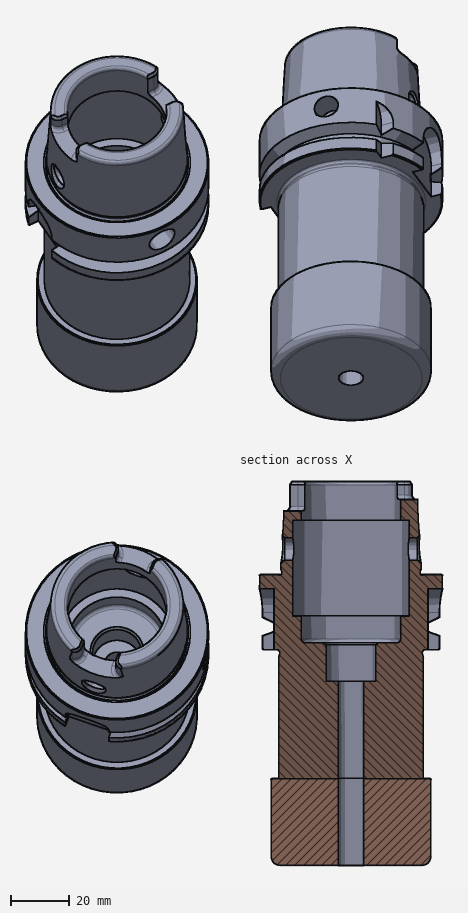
import cadquery as cq
import math

total_height = 132.0
nut_height = 30.0
collar_bottom = 74.0
lower_rim_top = 79.0
groove_bottom = 80.4
groove_top = 83.3
upper_rim_bottom = 85.3
collar_top = 100.0
taper_bottom = 101.9
taper_neck_top = 101.0
recess_floor = 99.8
bore_lip = 118.5
clamp_floor = 85.8
bore_floor = 76.5
thread_floor = 63.4

nut_diameter = 55.0
nut_bottom_round = 3.2
nut_top_chamfer = 0.4

shank_diameter = 50.0
shank_neck_diameter = 49.2
shank_neck_bottom = 72.7
shank_cone_bottom = 71.4
shank_neck_round = 0.9
collar_diameter = 63.0
collar_chamfer = 0.4
groove_diameter = 55.0
taper_base_diameter = 48.5
taper_slope = 0.05
taper_neck_diameter = 47.8
taper_neck_round = 0.7
recess_diameter = 50.4
taper_end_round = 1.3

mouth_diameter = 34.0
mouth_round = 1.2
clamp_diameter = 40.0
bore_floor_round = 1.3
thread_diameter = 16.9
thread_chamfer = 0.8
coolant_diameter = 8.5

slot_width = 12.5
front_slot_depth = 6.2
back_slot_depth = 10.2
slot_straight_end = 18.2
slot_flare_radius = 2.8
slot_floor_round = 1.6
slot_chamfer_width = 0.8
slot_chamfer_height = 1.2

cross_hole_height = 108.8
cross_hole_diameter = 7.5
cross_hole_mouth_diameter = 9.6
pocket_height = 92.8
pocket_depth = 8.8
near_pocket_diameter = 8.5
near_pocket_angle = 187.4
far_pocket_diameter = 10.0
far_pocket_angle = 0.0

keyway_width = 16.0
keyway_top = 95.0
keyway_floor = 26.5
notch_top = 95.8
notch_center_x = -28.0
notch_floor = 19.9

collar_radius = collar_diameter / 2
taper_base_radius = taper_base_diameter / 2
taper_neck_radius = taper_neck_diameter / 2
shank_radius = shank_diameter / 2
shank_neck_radius = shank_neck_diameter / 2
groove_radius = groove_diameter / 2
mouth_radius = mouth_diameter / 2
thread_radius = thread_diameter / 2
coolant_radius = coolant_diameter / 2
clearance = 6.6


def taper_radius(height):
    """Outer radius of the taper at a height."""
    return taper_base_radius - taper_slope * (height - taper_bottom)


def round_middle(center_x, center_z, radius, angle):
    """Point on a circle in the half section, at an angle in degrees from +X."""
    turn = math.radians(angle)
    return center_x + radius * math.cos(turn), center_z + radius * math.sin(turn)


def make_nut():
    """Round nut with a bulged lower edge and a central through hole."""
    nut = cq.Workplane("XY").circle(nut_diameter / 2).extrude(nut_height)
    nut = nut.faces("<Z").edges().fillet(nut_bottom_round)
    nut = nut.faces(">Z").edges().chamfer(nut_top_chamfer)
    return nut.cut(cq.Workplane("XY").circle(coolant_radius).extrude(nut_height))


def make_outer_form():
    """Turned outside of the holder: shank, grooved collar and taper."""
    lower_round_x = shank_neck_radius + shank_neck_round
    lower_round_z = collar_bottom - shank_neck_round
    upper_round_x = taper_neck_radius + taper_neck_round
    upper_round_z = recess_floor + taper_neck_round
    taper_end_radius = taper_radius(total_height - taper_end_round)
    end_round_x = taper_end_radius - taper_end_round
    profile = (
        cq.Workplane("XZ")
        .moveTo(0, nut_height)
        .lineTo(shank_radius, nut_height)
        .lineTo(shank_radius, shank_cone_bottom)
        .lineTo(shank_neck_radius, shank_neck_bottom)
        .lineTo(shank_neck_radius, lower_round_z)
        .threePointArc(
            round_middle(lower_round_x, lower_round_z, shank_neck_round, 135),
            (lower_round_x, collar_bottom),
        )
        .lineTo(collar_radius - collar_chamfer, collar_bottom)
        .lineTo(collar_radius, collar_bottom + collar_chamfer)
        .lineTo(collar_radius, lower_rim_top)
        .lineTo(groove_radius, groove_bottom)
        .lineTo(groove_radius, groove_top)
        .lineTo(collar_radius, upper_rim_bottom)
        .lineTo(collar_radius, collar_top - collar_chamfer)
        .lineTo(collar_radius - collar_chamfer, collar_top)
        .lineTo(recess_diameter / 2, collar_top)
        .lineTo(upper_round_x, recess_floor)
        .threePointArc(
            round_middle(upper_round_x, upper_round_z, taper_neck_round, 225),
            (taper_neck_radius, upper_round_z),
        )
        .lineTo(taper_neck_radius, taper_neck_top)
        .lineTo(taper_base_radius, taper_bottom)
        .lineTo(taper_end_radius, total_height - taper_end_round)
        .threePointArc(
            round_middle(end_round_x, total_height - taper_end_round, taper_end_round, 45),
            (end_round_x, total_height),
        )
        .lineTo(0, total_height)
        .close()
    )
    return profile.revolve(360, (0, 0, 0), (0, 1, 0))


def make_bore():
    """Stepped cavity along the axis, undercut behind the lip of its mouth."""
    clamp_radius = clamp_diameter / 2
    floor_round_x = mouth_radius - bore_floor_round
    floor_round_z = bore_floor + bore_floor_round
    round_x = mouth_radius + mouth_round
    round_z = total_height - mouth_round
    profile = (
        cq.Workplane("XZ")
        .moveTo(0, nut_height)
        .lineTo(coolant_radius, nut_height)
        .lineTo(coolant_radius, thread_floor)
        .lineTo(thread_radius, thread_floor)
        .lineTo(thread_radius, bore_floor - thread_chamfer)
        .lineTo(thread_radius + thread_chamfer, bore_floor)
        .lineTo(floor_round_x, bore_floor)
        .threePointArc(
            round_middle(floor_round_x, floor_round_z, bore_floor_round, 315),
            (mouth_radius, floor_round_z),
        )
        .lineTo(mouth_radius, clamp_floor)
        .lineTo(clamp_radius, clamp_floor)
        .lineTo(clamp_radius, bore_lip)
        .lineTo(mouth_radius, bore_lip)
        .lineTo(mouth_radius, round_z)
        .threePointArc(round_middle(round_x, round_z, mouth_round, 135), (round_x, total_height))
        .lineTo(0, total_height)
        .close()
    )
    return profile.revolve(360, (0, 0, 0), (0, 1, 0))


def slot_outline(height):
    """Outline of a drive slot on the -Y side: straight walls that flare outwards."""
    half_width = slot_width / 2
    flare_x = half_width + slot_flare_radius
    flare_y = slot_straight_end + slot_flare_radius
    reach = taper_base_radius + clearance
    right_turn = round_middle(flare_x, -slot_straight_end, slot_flare_radius, 225)
    return (
        cq.Workplane("XY", origin=(0, 0, height))
        .moveTo(-half_width, 0)
        .lineTo(half_width, 0)
        .lineTo(half_width, -slot_straight_end)
        .threePointArc(right_turn, (flare_x, -flare_y))
        .lineTo(reach, -flare_y)
        .lineTo(reach, -reach)
        .lineTo(-reach, -reach)
        .lineTo(-reach, -flare_y)
        .lineTo(-flare_x, -flare_y)
        .threePointArc((-right_turn[0], right_turn[1]), (-half_width, -slot_straight_end))
        .close()
    )


def make_drive_slot(depth):
    """Cutter for a drive slot with a rounded floor and chamfered top edges."""
    slot = slot_outline(total_height - depth).extrude(depth)
    slot = slot.faces("<Z").edges().fillet(slot_floor_round)
    chamfer_angle = math.degrees(math.atan2(slot_chamfer_width, slot_chamfer_height))
    chamfer = slot_outline(total_height - slot_chamfer_height)
    return slot.union(chamfer.extrude(slot_chamfer_height, taper=-chamfer_angle))


def make_cross_hole():
    """Hole along Y through both walls of the taper, countersunk at both ends."""
    reach = taper_base_radius
    hole_radius = cross_hole_diameter / 2
    mouth = cross_hole_mouth_diameter / 2
    surface = taper_radius(cross_hole_height)
    profile = (
        cq.Workplane("XY", origin=(0, 0, cross_hole_height))
        .moveTo(0, -reach)
        .lineTo(mouth + reach - surface, -reach)
        .lineTo(hole_radius, mouth - hole_radius - surface)
        .lineTo(hole_radius, surface - mouth + hole_radius)
        .lineTo(mouth + reach - surface, reach)
        .lineTo(0, reach)
        .close()
    )
    return profile.revolve(360, (0, 0, 0), (0, 1, 0))


def make_pocket(diameter, angle):
    """Blind round pocket that points radially into the collar."""
    turn = math.radians(angle)
    outward = cq.Vector(math.cos(turn), math.sin(turn), 0)
    floor_center = outward * (collar_radius - pocket_depth) + cq.Vector(0, 0, pocket_height)
    pocket = cq.Solid.makeCylinder(
        diameter / 2, pocket_depth + clearance, floor_center, outward
    )
    return cq.Workplane(pocket)


def make_keyway(center_x, floor_distance, top):
    """Cutter on the -Y side: round-topped keyway, open below the collar."""
    half_width = keyway_width / 2
    round_center = top - half_width
    return (
        cq.Workplane("XZ", origin=(center_x, -floor_distance, 0))
        .moveTo(-half_width, collar_bottom)
        .lineTo(half_width, collar_bottom)
        .lineTo(half_width, round_center)
        .threePointArc((0, top), (-half_width, round_center))
        .close()
        .extrude(collar_radius - floor_distance + clearance)
    )


def half_turn(body):
    """Body turned to the opposite side of the holder."""
    return body.rotate((0, 0, 0), (0, 0, 1), 180)


def make_holder():
    """Tool holder with a hollow taper, a grooved collar and a straight shank."""
    holder = make_outer_form().cut(make_bore())
    holder = holder.cut(make_drive_slot(front_slot_depth))
    holder = holder.cut(half_turn(make_drive_slot(back_slot_depth)))
    holder = holder.cut(make_cross_hole())
    holder = holder.cut(make_pocket(near_pocket_diameter, near_pocket_angle))
    holder = holder.cut(make_pocket(far_pocket_diameter, far_pocket_angle))
    keyway = make_keyway(0, keyway_floor, keyway_top)
    holder = holder.cut(keyway)
    holder = holder.cut(half_turn(keyway))
    return holder.cut(make_keyway(notch_center_x, notch_floor, notch_top))


nut = make_nut()
holder = make_holder()
result = cq.Compound.makeCompound([nut.val(), holder.val()])